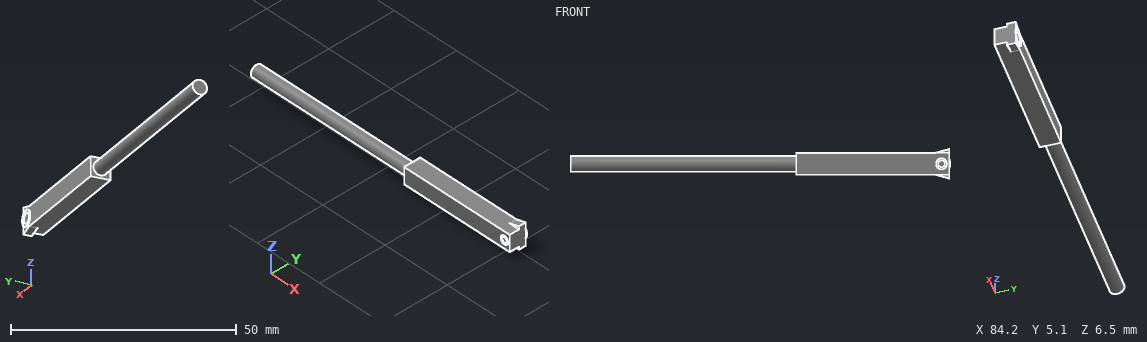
import cadquery as cq

rod_length = 50.0
rod_diameter = 3.5

overall_length = 84.2
overall_width = 5.1
flange_thickness = 0.2
housing_width = overall_width - flange_thickness
housing_height = 4.9
flange_overhang = 0.25
housing_end = overall_length - flange_overhang
housing_length = housing_end - rod_length
housing_back = housing_width / 2

ramp_length = 3.1
ramp_height = 0.8
ramp_width = 2.1

flange_diameter = 3.95
screw_diameter = 2.4
tip_diameter = 1.5
tip_depth = 0.5
screw_axis_x = overall_length - flange_diameter / 2


def make_screw_bore():
    """Through hole for the screw shank, running toward +Y."""
    plane = cq.Plane(origin=(screw_axis_x, -housing_back, 0), xDir=(1, 0, 0), normal=(0, 1, 0))
    return cq.Workplane(plane).circle(screw_diameter / 2).extrude(housing_width)


def make_ramp(side):
    """Wedge on the upper (side = 1) or lower (side = -1) housing face."""
    face_z = side * housing_height / 2
    peak_z = side * (housing_height / 2 + ramp_height)
    return (
        cq.Workplane("XZ", origin=(0, housing_back, 0))
        .moveTo(housing_end - ramp_length, face_z)
        .lineTo(housing_end, peak_z)
        .lineTo(housing_end, 0)
        .lineTo(housing_end - ramp_length, 0)
        .close()
        .extrude(ramp_width)
    )


def make_housing():
    """Housing with its rod and ramps, bored through for the screw."""
    block = cq.Workplane("XY").box(
        housing_length, housing_width, housing_height, centered=(False, True, True)
    ).translate((rod_length, 0, 0))
    rod = cq.Workplane("YZ").circle(rod_diameter / 2).extrude(rod_length)
    body = block.union(rod)
    for side in (1, -1):
        body = body.union(make_ramp(side))
    return body.cut(make_screw_bore())


def make_screw():
    """Screw with a tapered front tip and a thin flange against the back face."""
    return (
        cq.Workplane("XY", origin=(screw_axis_x, 0, 0))
        .moveTo(0, -housing_back)
        .lineTo(tip_diameter / 2, -housing_back)
        .lineTo(screw_diameter / 2, -housing_back + tip_depth)
        .lineTo(screw_diameter / 2, housing_back)
        .lineTo(flange_diameter / 2, housing_back)
        .lineTo(flange_diameter / 2, housing_back + flange_thickness)
        .lineTo(0, housing_back + flange_thickness)
        .close()
        .revolve(360, (0, 0), (0, 1))
    )


housing = make_housing()
screw = make_screw()

center_shift = cq.Vector(0, -flange_thickness / 2, 0)
result = cq.Compound.makeCompound(
    [housing.val().translate(center_shift), screw.val().translate(center_shift)]
)